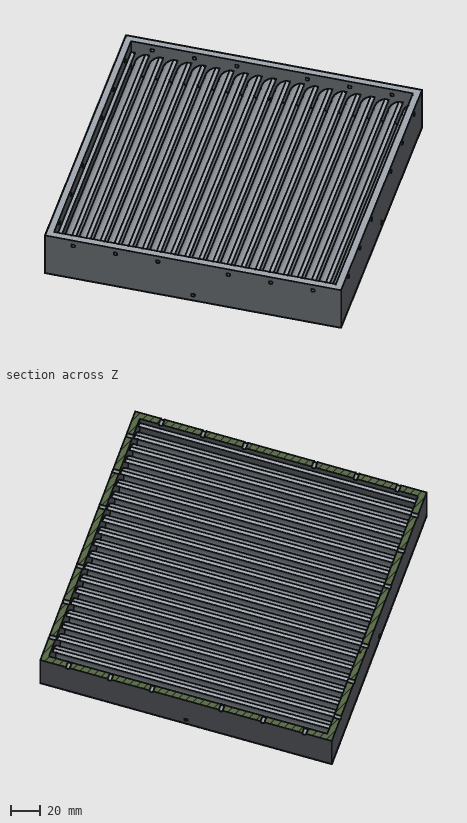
import cadquery as cq
import math

side = 210.0
height = 35.0
wall = 5.0
inner_side = side - 2 * wall

blade_gaps = 20
pitch = inner_side / blade_gaps
blade_height = 25.0
blade_radius = 13.9
blade_width = 3.0

hole_diameter = 2.5
hole_edge_distance = 5.0
upper_hole_offsets = (25.0, 55.0, 85.0)


def make_frame():
    outer = cq.Workplane("XY").rect(side, side)
    return outer.rect(inner_side, inner_side).extrude(height)


def make_blade(top_x):
    """A blade bulging toward -X; top_x is where its convex face meets its top."""
    half_height = blade_height / 2
    bulge = blade_radius - math.sqrt(blade_radius**2 - half_height**2)
    back_x = top_x + blade_width
    return (
        cq.Workplane("XZ", origin=(0, inner_side / 2, 0))
        .moveTo(top_x, 0)
        .threePointArc((top_x - bulge, half_height), (top_x, blade_height))
        .lineTo(back_x, blade_height)
        .threePointArc((back_x - bulge, half_height), (back_x, 0))
        .close()
        .extrude(inner_side)
    )


def make_louver():
    """All blades, trimmed to the opening of the frame."""
    first_x = -inner_side / 2
    louver = make_blade(first_x)
    for index in range(1, blade_gaps + 1):
        louver = louver.add(make_blade(first_x + index * pitch))
    opening = cq.Workplane("XY").rect(inner_side, inner_side).extrude(blade_height)
    return opening.intersect(louver.combine())


def make_wall_holes():
    """Holes of the -Y wall: a symmetric upper row and one central lower hole."""
    upper_z = height - hole_edge_distance
    centers = [(0, hole_edge_distance)]
    for offset in upper_hole_offsets:
        centers += [(-offset, upper_z), (offset, upper_z)]
    return (
        cq.Workplane("XZ", origin=(0, -inner_side / 2, 0))
        .pushPoints(centers)
        .circle(hole_diameter / 2)
        .extrude(wall)
    )


frame = make_frame()
for quarter_turn in range(4):
    frame = frame.cut(make_wall_holes().rotate((0, 0, 0), (0, 0, 1), 90 * quarter_turn))

result = frame.union(make_louver())